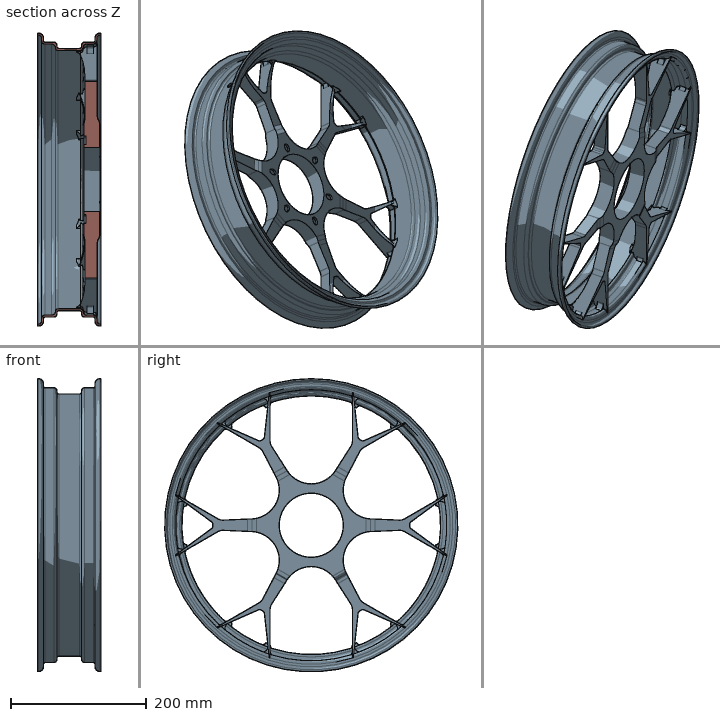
import cadquery as cq
import math

RIM_RADIUS = 215.79
RIM_HALF_WIDTH = 46.79
WALL = 3.1
TIP_RADIUS = WALL / 2
CURL_RADIUS = 7.5
FLANGE_WALL_X = RIM_HALF_WIDTH - TIP_RADIUS - CURL_RADIUS
FLANGE_FILLET_RADIUS = 2.0
SEAT_END = FLANGE_WALL_X - FLANGE_FILLET_RADIUS
SEAT_RADIUS = 202.5
SHOULDER_START = 22.8
SHOULDER_RADIUS = 4.8
DROP_RADIUS = 193.2
DROP_HALF_WIDTH = 15.0
DROP_FILLET_RADIUS = SHOULDER_START - SHOULDER_RADIUS - DROP_HALF_WIDTH
INNER_DROP_HALF_WIDTH = 16.6
INNER_DROP_FILLET_RADIUS = 3.7
INNER_SHOULDER_RADIUS = SEAT_RADIUS - DROP_RADIUS - INNER_DROP_FILLET_RADIUS
INNER_SEAT_START = INNER_DROP_HALF_WIDTH + INNER_DROP_FILLET_RADIUS + INNER_SHOULDER_RADIUS

VALVE_HOLE_DIAMETER = 9.0
VALVE_ANGLE = 30.0

SPOKE_COUNT = 6
SPOKE_PITCH = 360.0 / SPOKE_COUNT
BORE_RADIUS = 47.0
HUB_FRONT = 21.5
HUB_REAR = 45.0
STEP_DEPTH = 1.5
REAR_STEP_DEPTH = 3.5
STEP_START = 80.6
STEP_END = 94.0

WINDOW_HALF_WIDTH = 60.4
WINDOW_FLOOR = 61.0
SPOKE_ROOT_HALF_WIDTH = 9.4
SPOKE_FORK_HALF_WIDTH = 7.5
WINDOW_KINK_RADIUS = 15.0

CROTCH_DISTANCE = 145.0
CROTCH_HALF_WIDTH = 3.7
CROTCH_RADIUS = 4.0
FORK_SLOPE = 0.733

FLARE_START = 153.0
FLARE_END = 182.0
FLARE_FRONT = 17.0
FOOT_END = 187.5
FOOT_FRONT = 11.0
BRANCH_FOOT_RADIUS = 8.0
FOOT_OVERLAP = 1.0
SPOKE_BAND_HALF_WIDTH = 50.0

POCKET_CIRCLE_RADIUS = 57.9
POCKET_LENGTH = 12.2
POCKET_WIDTH = 9.0
POCKET_DEPTH = 3.0

POSITION_TOLERANCE = 1e-4


def on_arc(center, radius, degrees):
    angle = math.radians(degrees)
    return (center[0] + radius * math.cos(angle), center[1] + radius * math.sin(angle))


def drop_wall_bends(flat_half_width, fillet_radius, wall_end, shoulder_radius, drop_radius, seat_radius):
    """Arcs from the flat of the drop centre up to the bead seat."""
    return [
        ((flat_half_width, drop_radius + fillet_radius), fillet_radius, 270, 360),
        ((wall_end, seat_radius - shoulder_radius), shoulder_radius, 180, 90),
    ]


def flange_bends(depth):
    """Arcs from the bead seat to the flange tip, the given depth below the tyre side."""
    curl_center = (RIM_HALF_WIDTH - TIP_RADIUS, RIM_RADIUS - CURL_RADIUS)
    foot_center = (SEAT_END, SEAT_RADIUS + FLANGE_FILLET_RADIUS)
    return [
        (foot_center, FLANGE_FILLET_RADIUS + depth, 270, 360),
        (curl_center, CURL_RADIUS - depth, 180, 90),
    ]


def revolved_profile(bends):
    """Solid of revolution between the wheel axis and the arcs, mirrored about the mid plane."""
    mirrored = [
        ((-center[0], center[1]), radius, 180 - end, 180 - start)
        for center, radius, start, end in reversed(bends)
    ]
    first_center, first_radius, first_angle, _ = mirrored[0]
    point = on_arc(first_center, first_radius, first_angle)
    end_x = -point[0]
    profile = cq.Workplane("XZ").moveTo(-end_x, 0).lineTo(*point)
    for center, radius, start, end in mirrored + bends:
        start_point = on_arc(center, radius, start)
        if math.dist(point, start_point) > POSITION_TOLERANCE:
            profile = profile.lineTo(*start_point)
        point = on_arc(center, radius, end)
        profile = profile.threePointArc(on_arc(center, radius, (start + end) / 2), point)
    return profile.lineTo(end_x, 0).close().revolve(360, (0, 0, 0), (1, 0, 0))


def rim_envelope():
    drop_wall = drop_wall_bends(
        DROP_HALF_WIDTH, DROP_FILLET_RADIUS, SHOULDER_START, SHOULDER_RADIUS, DROP_RADIUS, SEAT_RADIUS
    )
    tip_center = (RIM_HALF_WIDTH - TIP_RADIUS, RIM_RADIUS - TIP_RADIUS)
    tip = (tip_center, TIP_RADIUS, 90, -90)
    return revolved_profile(drop_wall + flange_bends(0) + [tip])


def rim_cavity():
    drop_wall = drop_wall_bends(
        INNER_DROP_HALF_WIDTH,
        INNER_DROP_FILLET_RADIUS,
        INNER_SEAT_START,
        INNER_SHOULDER_RADIUS,
        DROP_RADIUS - WALL,
        SEAT_RADIUS - WALL,
    )
    return revolved_profile(drop_wall + flange_bends(WALL))


def valve_hole():
    return (
        cq.Workplane("XY")
        .circle(VALVE_HOLE_DIAMETER / 2)
        .extrude(RIM_RADIUS)
        .rotate((0, 0, 0), (1, 0, 0), VALVE_ANGLE - 90)
    )


def around_wheel(shape, first_angle=0.0):
    """One copy per spoke of a shape placed on +Y."""
    return [
        shape.val().rotate(cq.Vector(0, 0, 0), cq.Vector(1, 0, 0), first_angle + index * SPOKE_PITCH)
        for index in range(SPOKE_COUNT)
    ]


def spoke_band():
    """Side profile of one spoke along +Y, wide enough for both branches."""
    spoke_front = HUB_FRONT + STEP_DEPTH
    step_middle = ((STEP_START + STEP_END) / 2, HUB_FRONT + STEP_DEPTH / 2)
    spoke_rear = HUB_REAR - REAR_STEP_DEPTH
    rear_step_middle = (step_middle[0], HUB_REAR - REAR_STEP_DEPTH / 2)
    return (
        cq.Workplane("YX", origin=(0, 0, SPOKE_BAND_HALF_WIDTH))
        .moveTo(0, HUB_FRONT)
        .lineTo(STEP_START, HUB_FRONT)
        .tangentArcPoint(step_middle, relative=False)
        .tangentArcPoint((STEP_END, spoke_front), relative=False)
        .lineTo(FLARE_START, spoke_front)
        .tangentArcPoint((FLARE_END, FLARE_FRONT), relative=False)
        .tangentArcPoint((FOOT_END, FOOT_FRONT), relative=False)
        .lineTo(RIM_RADIUS, FOOT_FRONT)
        .lineTo(RIM_RADIUS, spoke_rear)
        .lineTo(STEP_END, spoke_rear)
        .tangentArcPoint(rear_step_middle, relative=False)
        .tangentArcPoint((STEP_START, HUB_REAR), relative=False)
        .lineTo(0, HUB_REAR)
        .close()
        .extrude(2 * SPOKE_BAND_HALF_WIDTH)
    )


def turned_disc(start, end, radius):
    return cq.Workplane("YZ", origin=(start, 0, 0)).circle(radius).extrude(end - start)


def rounded_slice(opening, start, end, rim_radius):
    """Part of the opening below a cylindrical stretch of the rim, with rounded corners there."""
    foot_radius = rim_radius + FOOT_OVERLAP
    below_rim = opening.intersect(turned_disc(start, end, foot_radius))
    corners = below_rim.edges("|X").filter(
        lambda edge: math.hypot(edge.Center().y, edge.Center().z) > foot_radius - POSITION_TOLERANCE
    )
    return corners.fillet(BRANCH_FOOT_RADIUS)


def with_branch_feet(opening):
    """The opening with rounded corners below the drop centre and below the bead seat."""
    below_drop = rounded_slice(opening, 0, INNER_DROP_HALF_WIDTH, DROP_RADIUS - WALL)
    below_wall = opening.intersect(turned_disc(INNER_DROP_HALF_WIDTH, INNER_SEAT_START, RIM_RADIUS))
    below_seat = rounded_slice(opening, INNER_SEAT_START, SEAT_END, SEAT_RADIUS - WALL)
    below_flange = opening.intersect(turned_disc(SEAT_END, RIM_HALF_WIDTH, RIM_RADIUS))
    return below_drop.union(below_wall).union(below_seat).union(below_flange)


def large_window():
    """Opening between two neighbouring spokes, centred on +Y."""
    half_pitch = math.radians(SPOKE_PITCH / 2)
    arc_center = (WINDOW_FLOOR - SPOKE_ROOT_HALF_WIDTH) / (1 - math.sin(half_pitch))
    arc_radius = arc_center - WINDOW_FLOOR
    root_y = arc_center - arc_radius * math.sin(half_pitch)
    root_z = arc_radius * math.cos(half_pitch)
    fork_offset = SPOKE_FORK_HALF_WIDTH / math.sin(half_pitch)
    kink_y = WINDOW_HALF_WIDTH / math.tan(half_pitch) + fork_offset
    opening = (
        cq.Workplane("YZ")
        .moveTo(root_y, -root_z)
        .threePointArc((WINDOW_FLOOR, 0), (root_y, root_z))
        .lineTo(kink_y, WINDOW_HALF_WIDTH)
        .lineTo(RIM_RADIUS, WINDOW_HALF_WIDTH)
        .lineTo(RIM_RADIUS, -WINDOW_HALF_WIDTH)
        .lineTo(kink_y, -WINDOW_HALF_WIDTH)
        .close()
        .extrude(RIM_HALF_WIDTH)
    )
    kinks = opening.edges("|X").filter(lambda edge: abs(edge.Center().y - kink_y) < POSITION_TOLERANCE)
    return with_branch_feet(kinks.fillet(WINDOW_KINK_RADIUS))


def fork_opening():
    """Opening between the two branches of the spoke on +Y."""
    outer_half_width = CROTCH_HALF_WIDTH + FORK_SLOPE * (RIM_RADIUS - CROTCH_DISTANCE)
    opening = (
        cq.Workplane("YZ")
        .moveTo(CROTCH_DISTANCE, -CROTCH_HALF_WIDTH)
        .lineTo(CROTCH_DISTANCE, CROTCH_HALF_WIDTH)
        .lineTo(RIM_RADIUS, outer_half_width)
        .lineTo(RIM_RADIUS, -outer_half_width)
        .close()
        .extrude(RIM_HALF_WIDTH)
        .edges("|X and <Y")
        .fillet(CROTCH_RADIUS)
    )
    return with_branch_feet(opening)


def pocket():
    return (
        cq.Workplane("YZ", origin=(HUB_FRONT, POCKET_CIRCLE_RADIUS, 0))
        .ellipse(POCKET_LENGTH / 2, POCKET_WIDTH / 2)
        .extrude(POCKET_DEPTH)
    )


def star_limit():
    """Stepped turned shape that ends the branches inside the rim wall."""
    outer_wall_x = DROP_HALF_WIDTH + DROP_FILLET_RADIUS
    inner_wall_x = INNER_DROP_HALF_WIDTH + INNER_DROP_FILLET_RADIUS
    drop_wall_middle = (outer_wall_x + inner_wall_x) / 2
    flange_middle = FLANGE_WALL_X + WALL / 3
    below_drop = turned_disc(0, drop_wall_middle, DROP_RADIUS - WALL + FOOT_OVERLAP)
    below_seat = turned_disc(drop_wall_middle, flange_middle, SEAT_RADIUS - WALL + FOOT_OVERLAP)
    below_flange = turned_disc(flange_middle, RIM_HALF_WIDTH, SEAT_RADIUS + FLANGE_FILLET_RADIUS)
    return below_drop.union(below_seat).union(below_flange)


def spoke_star():
    bore = cq.Workplane("YZ").circle(BORE_RADIUS).extrude(RIM_HALF_WIDTH)
    first_band, *other_bands = around_wheel(spoke_band())
    openings = around_wheel(large_window(), SPOKE_PITCH / 2) + around_wheel(fork_opening())
    pockets = around_wheel(pocket())
    return cq.Workplane(first_band.fuse(*other_bands).cut(*openings, *pockets, bore.val()))


rim = rim_envelope().cut(rim_cavity()).cut(valve_hole())
result = rim.union(spoke_star().intersect(star_limit()))